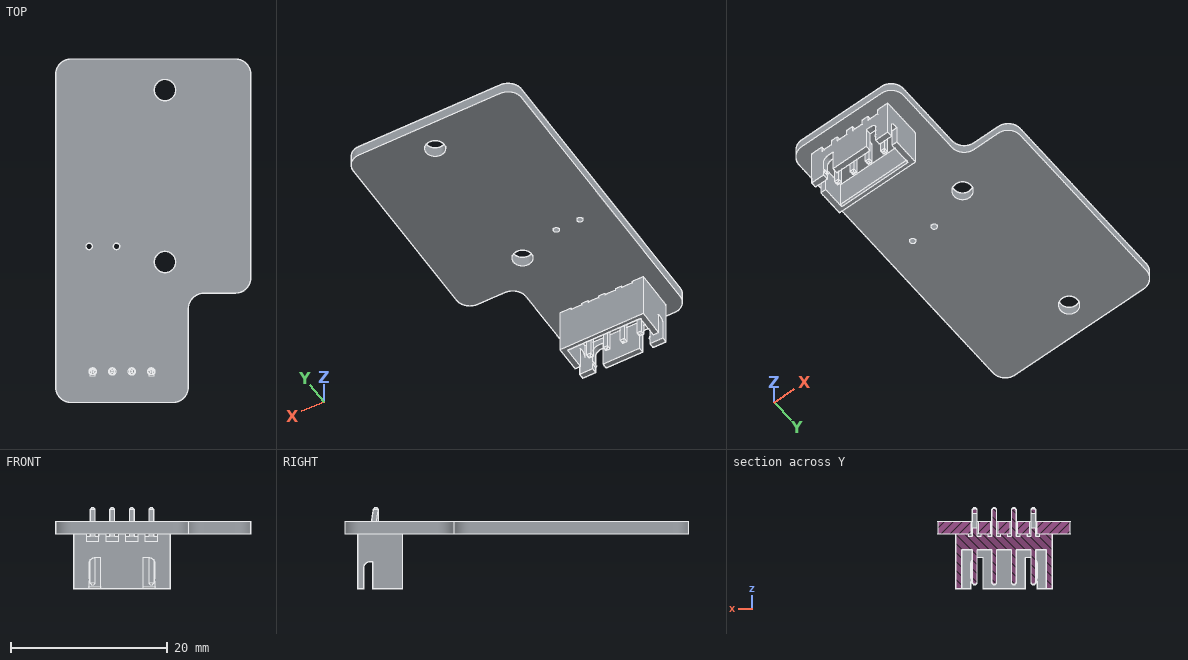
import cadquery as cq

board_width = 25.0
board_length = 44.0
board_thickness = 1.65
tail_width = 17.0
tail_length = 14.0
corner_radius = 2.0

mounting_hole_diameter = 2.7
mounting_hole_x = 14.0
mounting_hole_ys = (18.0, 40.0)

small_hole_diameter = 0.8
small_hole_xs = (4.3, 7.8)
small_hole_y = 20.0

pin_hole_diameter = 0.95

housing_width = 12.4
housing_depth = 5.75
housing_height = 7.0
pin_to_housing_front = 2.35
wall = 0.8
floor_thickness = 2.0
mouth_chamfer = 0.25

front_slot_inner = 2.72
front_slot_outer = 4.25
front_slot_height = 4.0
front_slot_radius = 0.85

latch_protrusion = 0.15
latch_height = 0.5
latch_centre_height = 1.15

side_slot_width = 1.1
side_slot_height = 3.45
side_slot_radius = 0.7

vent_width = 1.55
vent_depth = 0.25
vent_pocket_height = 0.95
vent_pocket_depth = 0.5

pin_count = 4
pin_pitch = 2.5
pin_size = 0.64
pin_top = 3.4
pin_bottom = -6.5
pin_tip_height = 0.25
pin_tip_size = 0.25
pin_kink = 0.28
pin_tip_kink = 0.06

pin_y = 4.0
centre_x = tail_width / 2
pin_xs = [centre_x + (i - (pin_count - 1) / 2) * pin_pitch for i in range(pin_count)]
housing_front = pin_y - pin_to_housing_front
housing_rear = housing_front + housing_depth
housing_left = centre_x - housing_width / 2


def box(x0, x1, y0, y1, z0, z1):
    """Box between two opposite corners."""
    return cq.Workplane("XY").box(x1 - x0, y1 - y0, z1 - z0, centered=False).translate((x0, y0, z0))


def make_plate():
    outline = [
        (0, 0),
        (tail_width, 0),
        (tail_width, tail_length),
        (board_width, tail_length),
        (board_width, board_length),
        (0, board_length),
    ]
    plate = cq.Workplane("XY").polyline(outline).close().extrude(board_thickness)
    return plate.edges("|Z").fillet(corner_radius)


def drill(plate, points, diameter):
    holes = cq.Workplane("XY").pushPoints(points).circle(diameter / 2).extrude(board_thickness)
    return plate.cut(holes)


def front_slot(side):
    """Slot through the front wall; side is -1 for left, 1 for right. Its outer top corner is round."""
    edges_x = sorted(centre_x + side * offset for offset in (front_slot_inner, front_slot_outer))
    top = -housing_height + front_slot_height
    slot = box(*edges_x, housing_front, housing_front + wall, -housing_height, top)
    outer_edge = slot.edges("|Y").edges(">Z").edges(">X" if side > 0 else "<X")
    return outer_edge.fillet(front_slot_radius)


def latch_ridge(side):
    """Triangular ridge across the front wall, on the outer side of a front slot."""
    outer_x = centre_x + side * front_slot_outer
    centre_z = -housing_height + latch_centre_height
    profile = [
        (outer_x, centre_z - latch_height / 2),
        (outer_x - side * latch_protrusion, centre_z),
        (outer_x, centre_z + latch_height / 2),
    ]
    return cq.Workplane("XZ", origin=(0, housing_front, 0)).polyline(profile).close().extrude(-wall)


def side_slots():
    """Slot through both side walls, just behind the front wall."""
    y0 = housing_front + wall
    top = -housing_height + side_slot_height
    slot = box(housing_left, housing_left + housing_width, y0, y0 + side_slot_width, -housing_height, top)
    return slot.edges("|X").edges(">Z").edges("<Y").fillet(side_slot_radius)


def make_housing():
    housing_right = housing_left + housing_width
    housing = box(housing_left, housing_right, housing_front, housing_rear, -housing_height, 0)
    cavity = box(
        housing_left + wall,
        housing_right - wall,
        housing_front + wall,
        housing_rear - wall,
        -housing_height,
        -floor_thickness,
    )
    housing = housing.cut(cavity)
    mouth_edge = cq.selectors.NearestToPointSelector((centre_x, housing_rear - wall, -housing_height))
    housing = housing.edges("|X").edges(mouth_edge).chamfer(mouth_chamfer)

    for side in (-1, 1):
        housing = housing.cut(front_slot(side)).union(latch_ridge(side))
    housing = housing.cut(side_slots())

    for x in pin_xs:
        x0 = x - vent_width / 2
        x1 = x + vent_width / 2
        channel = box(x0, x1, housing_front, housing_rear, -vent_depth, 0)
        pocket = box(x0, x1, housing_front, housing_front + vent_pocket_depth, -vent_pocket_height, 0)
        housing = housing.cut(channel).cut(pocket)
    return housing


def make_pin(x, kink, tip_kink):
    """Square pin with tapered ends, bent towards -Y where it leaves the board and at its upper end."""
    sections = [
        (pin_bottom, 0, pin_tip_size),
        (pin_bottom + pin_tip_height, 0, pin_size),
        (0, 0, pin_size),
        (board_thickness, kink, pin_size),
        (pin_top - pin_tip_height, tip_kink, pin_size),
        (pin_top, tip_kink, pin_tip_size),
    ]
    segments = []
    for (z0, bend0, size0), (z1, bend1, size1) in zip(sections, sections[1:]):
        segment = (
            cq.Workplane("XY", origin=(x, pin_y - bend0, z0))
            .rect(size0, size0)
            .workplane(offset=z1 - z0)
            .center(0, bend0 - bend1)
            .rect(size1, size1)
            .loft(ruled=True)
        )
        segments.append(segment)
    pin = segments[0]
    for segment in segments[1:]:
        pin = pin.union(segment)
    return pin


def make_connector():
    connector = make_housing()
    for x in pin_xs:
        if x in (pin_xs[0], pin_xs[-1]):
            pin = make_pin(x, pin_kink, pin_tip_kink)
        else:
            pin = make_pin(x, 0, 0)
        connector = connector.union(pin)
    return connector


def make_board(connector):
    board = make_plate()
    board = drill(board, [(mounting_hole_x, y) for y in mounting_hole_ys], mounting_hole_diameter)
    board = drill(board, [(x, small_hole_y) for x in small_hole_xs], small_hole_diameter)
    board = drill(board, [(x, pin_y) for x in pin_xs], pin_hole_diameter)
    return board.cut(connector)


connector = make_connector()
board = make_board(connector)
result = cq.Compound.makeCompound([board.solids().val(), connector.solids().val()])